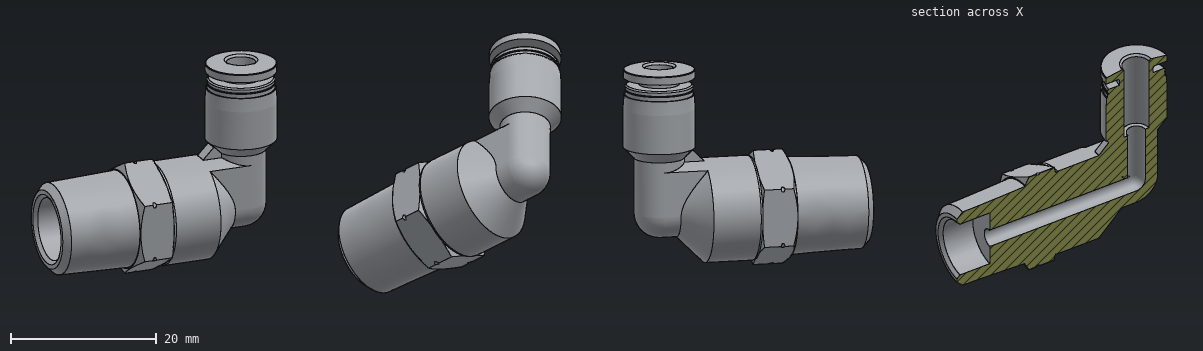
import cadquery as cq
import math


elbow_radius = 3.47

body_radius = 7.25
body_start = 6.1
body_straight_end = 12.75
body_end_radius = 7.15
shoulder_start = body_start - (body_radius - elbow_radius)

hex_start = 13.02
hex_end = 18.02
hex_flats = 14.0
hex_corner_radius = hex_flats / math.sqrt(3)
hex_back_bevel = 0.25
hex_front_bevel = 0.65
hex_front_radius = 6.9
notch_position = 15.88
notch_radius = 0.27
notch_depth = 0.2

thread_end = 29.0
thread_root_radius = 6.75
thread_tip_radius = 6.43
thread_face_radius = 5.5
thread_bevel = thread_tip_radius - thread_face_radius

bore_radius = 4.4
bore_mouth_radius = 4.9
bore_bevel = bore_mouth_radius - bore_radius
bore_depth = 5.3
passage_radius = 1.4

socket_radius = 5.0
socket_cone_bottom = 7.8
socket_cone_top = socket_cone_bottom + socket_radius - elbow_radius
socket_straight_top = 14.75
socket_rim_height = 16.73
socket_rim_radius = 4.85
cap_radius = 4.7
cap_top = 18.12
cap_bevel = 0.2
cap_groove_height = 17.3
cap_groove_width = 0.15
cap_groove_depth = 0.1

button_neck_radius = 2.75
button_collar_radius = 2.9
button_collar_bottom = 18.95
button_bottom = 19.1
button_diameter = 9.9
button_radius = button_diameter / 2
button_edge_top = 20.15
button_edge_bevel = 0.1
button_top = 20.67
button_top_radius = 2.3
tube_radius = 2.0
tube_mouth_bevel = button_top_radius - tube_radius
tube_depth = 11.9

rib_width = 2.05
rib_rise = 1.6


def turn_about_y(profile):
    """Revolve (radius, distance toward -Y) points around the body axis."""
    points = [(radius, -distance) for radius, distance in profile]
    return cq.Workplane("XY").polyline(points).close().revolve(360, (0, 0, 0), (0, 1, 0))


def turn_about_z(profile):
    """Revolve (radius, height) points around the socket axis."""
    return cq.Workplane("XZ").polyline(profile).close().revolve(360, (0, 0, 0), (0, 1, 0))


def make_elbow():
    upright = cq.Workplane("XY").circle(elbow_radius).extrude(socket_cone_bottom)
    level = cq.Workplane("XZ").circle(elbow_radius).extrude(body_start)
    corner = cq.Workplane("XY").sphere(elbow_radius)
    web = cq.Workplane("XY").box(
        2 * elbow_radius, body_start, body_radius, centered=(True, False, False)
    ).translate((0, -body_start, 0))
    web = web.intersect(cq.Workplane("XZ").circle(body_radius).extrude(body_start))
    return upright.union(level).union(corner).union(web)


def make_body():
    return turn_about_y([
        (0, shoulder_start),
        (elbow_radius, shoulder_start),
        (body_radius, body_start),
        (body_radius, body_straight_end),
        (body_end_radius, hex_start),
        (thread_root_radius, hex_start),
        (thread_root_radius, hex_end),
        (thread_tip_radius, thread_end - thread_bevel),
        (thread_face_radius, thread_end),
        (0, thread_end),
    ])


def make_hexagon():
    prism = (
        cq.Workplane("XZ", origin=(0, -hex_start, 0))
        .transformed(rotate=(0, 0, 90))
        .polygon(6, 2 * hex_corner_radius)
        .extrude(hex_end - hex_start)
    )
    bevels = turn_about_y([
        (0, hex_start),
        (body_end_radius, hex_start),
        (hex_corner_radius, hex_start + hex_back_bevel),
        (hex_corner_radius, hex_end - hex_front_bevel),
        (hex_front_radius, hex_end),
        (0, hex_end),
    ])
    ring_radius = hex_corner_radius + notch_radius - notch_depth
    notches = (
        cq.Workplane("XY")
        .center(ring_radius, -notch_position)
        .circle(notch_radius)
        .revolve(360, (-ring_radius, 0, 0), (-ring_radius, 1, 0))
    )
    return prism.intersect(bevels).cut(notches)


def make_socket():
    groove_floor = cap_radius - cap_groove_depth
    groove_top = cap_groove_height + cap_groove_width
    return turn_about_z([
        (0, socket_cone_bottom),
        (elbow_radius, socket_cone_bottom),
        (socket_radius, socket_cone_top),
        (socket_radius, socket_straight_top),
        (socket_rim_radius, socket_rim_height),
        (cap_radius, socket_rim_height),
        (cap_radius, cap_groove_height),
        (groove_floor, cap_groove_height),
        (groove_floor, groove_top),
        (cap_radius, groove_top),
        (cap_radius, cap_top - cap_bevel),
        (cap_radius - cap_bevel, cap_top),
        (button_neck_radius, cap_top),
        (button_neck_radius, button_collar_bottom),
        (button_collar_radius, button_bottom),
        (button_radius, button_bottom),
        (button_radius, button_edge_top),
        (button_radius - button_edge_bevel, button_edge_top + button_edge_bevel),
        (button_top_radius, button_top),
        (0, button_top),
    ])


def make_rib():
    rib_top = body_radius + rib_rise
    outline = [
        (0, 0),
        (-body_start, 0),
        (-body_start, body_radius),
        (-body_start + rib_rise, rib_top),
        (0, rib_top),
    ]
    return cq.Workplane("YZ").polyline(outline).close().extrude(rib_width / 2, both=True)


def make_passages():
    bore_floor = thread_end - bore_depth
    body_bore = turn_about_y([
        (0, 0),
        (passage_radius, 0),
        (passage_radius, bore_floor),
        (bore_radius, bore_floor),
        (bore_radius, thread_end - bore_bevel),
        (bore_mouth_radius, thread_end),
        (0, thread_end),
    ])
    tube_floor = button_top - tube_depth
    socket_bore = turn_about_z([
        (0, 0),
        (passage_radius, 0),
        (passage_radius, tube_floor),
        (tube_radius, tube_floor),
        (tube_radius, button_top - tube_mouth_bevel),
        (button_top_radius, button_top),
        (0, button_top),
    ])
    corner = cq.Workplane("XY").sphere(passage_radius)
    return body_bore.union(socket_bore).union(corner)


result = (
    make_elbow()
    .union(make_body())
    .union(make_hexagon())
    .union(make_socket())
    .union(make_rib())
    .cut(make_passages())
)